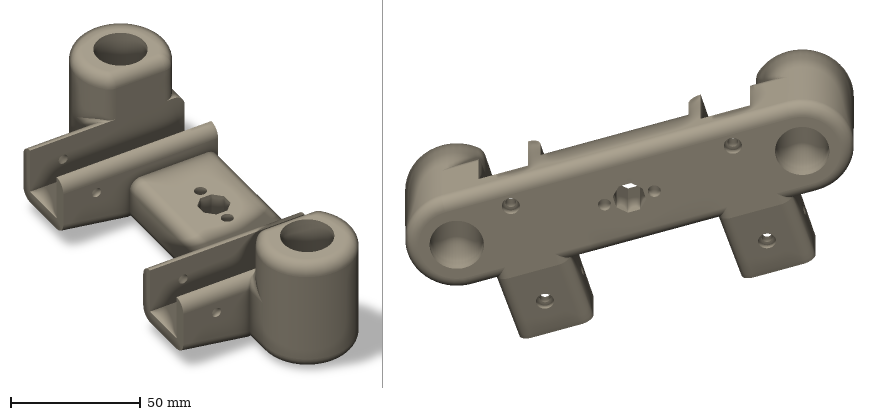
import cadquery as cq

total_length = 180.0
rounding = 5.0

tower_radius = 20.0
tower_height = 50.0
tower_bore = 21.0
tower_x = total_length / 2 - tower_radius

channel_x = 45.0
channel_gap = 20.0
wall = rounding
channel_rounding = 0.99 * wall
channel_height = 30.0
floor_height = 10.0
front_reach = 30.0
front_rise = 5.0
inner_x = channel_x - channel_gap / 2 - wall
gap_outer_x = channel_x + channel_gap / 2
outer_x = gap_outer_x + wall
rear_y = tower_radius
bar_front_y = -tower_radius
front_y = bar_front_y - front_reach

bar_height = 20.0

screw_diameter = 4.1
screw_head_diameter = 7.0
screw_head_depth = 3.0
rear_screw_y = 10.0
front_screw_y = bar_front_y - front_reach / 2
wall_hole_z = 20.0
shaft_across_flats = 12.0
shaft_sides = 8
bar_hole_diameter = 5.0
bar_hole_x = 10.0


def block(x_min, x_max, y_min, y_max, z_min, z_max):
    """Box given by its limits along each axis."""
    size = (x_max - x_min, y_max - y_min, z_max - z_min)
    return cq.Workplane("XY").box(*size, centered=False).translate((x_min, y_min, z_min))


def vertical_hole(x, y, diameter, height):
    """Cutter rising from the underside."""
    return cq.Workplane("XY").center(x, y).circle(diameter / 2).extrude(height)


def crossbar():
    """Middle bar with its long edges rounded."""
    bar = block(-inner_x, inner_x, bar_front_y, rear_y, 0, bar_height)
    return bar.edges("|X").fillet(rounding)


def tower():
    """Upright cylinder flattened on the channel side, rounded all over."""
    post = cq.Workplane("XY").center(tower_x, 0).circle(tower_radius).extrude(tower_height)
    flat_side = block(gap_outer_x, total_length, -total_length, total_length, 0, tower_height)
    post = post.intersect(flat_side)
    post = post.edges("|Z and <X").fillet(rounding)
    return post.faces("<Z or >Z").edges().fillet(rounding)


def tower_foot():
    """Rounded block joining a tower to its channel."""
    foot = block(gap_outer_x, tower_x, bar_front_y, rear_y, 0, channel_height)
    return foot.edges("|X").fillet(rounding)


def channel_front():
    """Channel from mid-bar to its front end, with a rising overhang and rounded long edges."""
    side_profile = [
        (0, 0),
        (0, channel_height),
        (front_y, channel_height),
        (front_y, front_rise),
        (bar_front_y, 0),
    ]
    body = cq.Workplane("YZ").polyline(side_profile).close().extrude(outer_x - inner_x)
    body = body.translate((inner_x, 0, 0))
    long_edges = body.edges("(<X or >X) and (not |Z)")
    return long_edges.fillet(channel_rounding)


def channel_rear():
    """Channel stretch between the crossbar and the tower foot."""
    body = block(inner_x, gap_outer_x, bar_front_y, rear_y, 0, channel_height)
    body = body.edges("|Y and <X and >Z").fillet(channel_rounding)
    return body.edges("|X and <Z").fillet(rounding)


def channel_cutters():
    """Channel gap, floor screws, wall screws and tower bore of one side."""
    cutters = block(
        channel_x - channel_gap / 2, gap_outer_x, front_y, rear_y, floor_height, tower_height
    )
    for y in (rear_screw_y, front_screw_y):
        cutters = cutters.union(vertical_hole(channel_x, y, screw_diameter, channel_height))
    slope_lift = front_rise * (bar_front_y - front_screw_y) / front_reach
    for y, underside in ((rear_screw_y, 0), (front_screw_y, slope_lift)):
        head = vertical_hole(channel_x, y, screw_head_diameter, underside + screw_head_depth)
        cutters = cutters.union(head)
    wall_hole = cq.Workplane("YZ").center(front_screw_y, wall_hole_z)
    wall_hole = wall_hole.circle(screw_diameter / 2).extrude(outer_x)
    bore = vertical_hole(tower_x, 0, tower_bore, tower_height)
    return cutters.union(wall_hole).union(bore)


def crossbar_cutters():
    """Octagonal shaft opening with a round hole on either side."""
    flats = cq.Workplane("XY").polygon(shaft_sides, shaft_across_flats, circumscribed=True)
    cutters = flats.extrude(bar_height)
    for x in (-bar_hole_x, bar_hole_x):
        cutters = cutters.union(vertical_hole(x, 0, bar_hole_diameter, bar_height))
    return cutters


side = channel_rear().union(channel_front()).union(tower_foot()).union(tower())
side = side.cut(channel_cutters())

result = crossbar().union(side).union(side.mirror("YZ")).cut(crossbar_cutters())